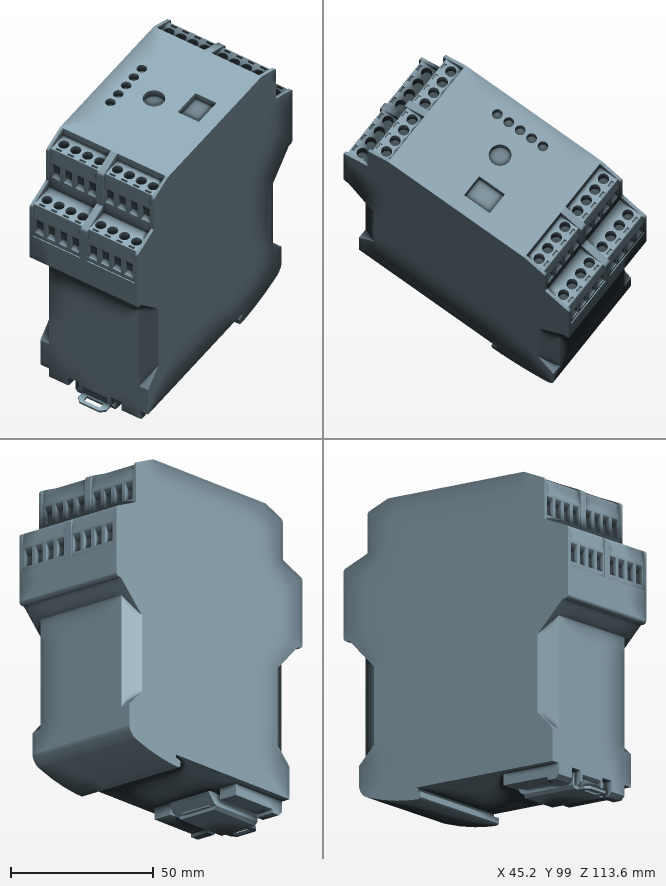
import cadquery as cq

WIDTH = 45.2
HEIGHT = 113.6
DEPTH = 99.0
HEAD_HALF = DEPTH / 2
SHOULDER_HALF = 39.0
CREST_HALF = 29.9
BODY_HALF = 42.6
TERRACE_SLOPE = 0.4
TERRACE_DROP = 18.5
HEAD_BOTTOM = 64.8
HEAD_LIP = 2.4
EDGE_RADIUS = 1.4
BASE_Z = 6.7

RECESS_DEPTH = 6.6
RECESS_SIDE = 3.7
RECESS_BOTTOM = 18.7
RECESS_TOP = HEAD_BOTTOM + BODY_HALF - (HEAD_HALF - HEAD_LIP)

GROUP_WIDTH = 20.1
MIDDLE_RIB = 2.7
GROUP_OFFSET = (GROUP_WIDTH + MIDDLE_RIB) / 2
POLES = 4
PITCH = 5.0
POLE_OFFSET = 11.2
FACE_RECESS = 0.3
LOWER_FACE = HEAD_HALF - FACE_RECESS
FACE_STEP = 10.7
UPPER_FACE = LOWER_FACE - FACE_STEP
UPPER_DECK = 110.0
LOWER_DECK = UPPER_DECK - TERRACE_DROP
BANK_BOTTOM = 76.7
LIP_HEIGHT = 0.8
LIP_RUN = 0.2
FACE_LEAN = 0.7
FACE_LEAN_DROP = 5.3
CLEARANCE = 3.4
SCREW_DIAMETER = 4.0
SCREW_INSET = 5.0
SCREW_DEPTH = 4.5
TEST_SLOT = (2.5, 1.0)
TEST_SLOT_INSET = 1.8
TEST_SLOT_DEPTH = 1.1
ENTRY_WIDTH = 3.4
ENTRY_TOP = 6.1
ENTRY_BOTTOM = 13.0
ENTRY_DEPTH = 1.8
ENTRY_CEILING_FALL = 2.5
ENTRY_FLOOR_RISE = 0.9

PANEL_DEPTH = 3.0
LED_DIAMETER = 3.7
LED_COUNT = 5
LED_X = -14.7
KNOB_DIAMETER = 8.0
KNOB_X = -3.0
WINDOW_SIZE = (8.9, 11.2)
WINDOW_CENTRE = (12.2, 4.5)

HOOK_BACK = 17.7
HOOK_TIP = 15.6
HOOK_MOUTH_TOP = 5.7
HOOK_TIP_TOP = 5.0
HOOK_TIP_BOTTOM = 3.0
HOOK_BOTTOM = 2.4
HOOK_CHAMFER = 0.7
HOOK_TOE = 19.4
HOOK_TOE_Z = 2.5
HOOK_SWEEP_MIDDLE = (28.9, 3.9)
HOOK_SWEEP_END = (38.4, 6.5)
HEEL_MIDDLE = (41.4, 8.2)
HEEL_TOP = 10.8

FOOT_BACK = -18.2
FOOT_BOTTOM = 1.2
FOOT_STEP_Y = -37.7
FOOT_STEP_Z = 2.5
FOOT_CHAMFER = 1.5
FOOT_FRONT = -BODY_HALF + FOOT_CHAMFER
OUTER_FOOT_WIDTH = 7.5
OUTER_FOOT_X = 15.2
CENTRE_FOOT_WIDTH = 12.7
POCKET_WIDTH = 10.7
POCKET_TOP = 5.5
POCKET_DEPTH = 1.1

LATCH_HALF = 8.9
LATCH_WALL = 0.8
LATCH_WALL_TOP = 5.6
LATCH_FLOOR_HALF = 7.8
LATCH_BACK = -19.3
LATCH_HEEL_Z = 1.8
LATCH_TIP = (-15.1, 5.5)
LATCH_TIP_TOP = (-16.8, 5.9)
TONGUE_FRONT = -45.5
TONGUE_WIDTH = 11.8
TONGUE_THICKNESS = 0.9
TONGUE_CHAMFER = 1.7
GRIP_WIDTH = 6.8
GRIP_LENGTH = 2.3
GRIP_RIM = 1.4


def extrude_x(points, width, x_centre=0.0):
    """Prism along X from an outline of (y, z) points."""
    return (
        cq.Workplane("YZ", origin=(x_centre - width / 2, 0, 0))
        .polyline(points)
        .close()
        .extrude(width)
    )


def mirrored_y(points):
    return [(-y, z) for y, z in points]


def head():
    upper_corner = HEIGHT - TERRACE_SLOPE * (SHOULDER_HALF - CREST_HALF)
    shoulder = HEIGHT - TERRACE_DROP
    lower_corner = shoulder - TERRACE_SLOPE * (HEAD_HALF - SHOULDER_HALF)
    neck = BODY_HALF - RECESS_DEPTH
    half = [
        (CREST_HALF, HEIGHT),
        (SHOULDER_HALF, upper_corner),
        (SHOULDER_HALF, shoulder),
        (HEAD_HALF, lower_corner),
        (HEAD_HALF, HEAD_BOTTOM),
        (HEAD_HALF - HEAD_LIP, HEAD_BOTTOM),
        (neck, RECESS_TOP - RECESS_DEPTH),
    ]
    solid = extrude_x(half + mirrored_y(half)[::-1], WIDTH)
    rounded = [(SHOULDER_HALF, upper_corner), (HEAD_HALF, lower_corner), (HEAD_HALF, HEAD_BOTTOM)]
    for y, z in rounded + mirrored_y(rounded):
        edge = cq.selectors.NearestToPointSelector((0, y, z))
        solid = solid.edges(edge).fillet(EDGE_RADIUS)
    return solid


def body():
    """Lower body with the curved rail hook at its +Y end."""
    return (
        cq.Workplane("YZ", origin=(-WIDTH / 2, 0, 0))
        .moveTo(-BODY_HALF, RECESS_TOP)
        .lineTo(-BODY_HALF, BASE_Z)
        .lineTo(HOOK_BACK, BASE_Z)
        .lineTo(HOOK_BACK, HOOK_MOUTH_TOP)
        .lineTo(HOOK_TIP, HOOK_TIP_TOP)
        .lineTo(HOOK_TIP, HOOK_TIP_BOTTOM)
        .lineTo(HOOK_TIP + HOOK_CHAMFER, HOOK_BOTTOM)
        .lineTo(HOOK_TOE, HOOK_TOE_Z)
        .threePointArc(HOOK_SWEEP_MIDDLE, HOOK_SWEEP_END)
        .threePointArc(HEEL_MIDDLE, (BODY_HALF, HEEL_TOP))
        .lineTo(BODY_HALF, RECESS_TOP)
        .close()
        .extrude(WIDTH)
    )


def corner_recesses():
    """Cutters that bevel the four vertical corners between two sloping ledges."""
    inner = BODY_HALF - RECESS_DEPTH
    ledges = [
        (BODY_HALF, RECESS_BOTTOM),
        (inner, RECESS_BOTTOM + RECESS_DEPTH),
        (inner, RECESS_TOP - RECESS_DEPTH),
        (BODY_HALF, RECESS_TOP),
    ]
    side = WIDTH / 2
    bevel = [(side, inner), (side, BODY_HALF), (side - RECESS_SIDE, BODY_HALF)]
    corner = (
        cq.Workplane("XY").polyline(bevel).close().extrude(RECESS_TOP)
        .intersect(extrude_x(ledges, WIDTH))
    )
    pair = corner.union(corner.mirror("YZ"))
    return pair.union(pair.mirror("XZ"))


def terminal_bank(back, face, deck, bottom):
    """Cutter for one terrace of terminals on the +Y side."""
    outside = face + CLEARANCE
    opening = [
        (back, deck + TERRACE_DROP),
        (back, deck),
        (face - FACE_LEAN - LIP_RUN, deck),
        (face - FACE_LEAN, deck - LIP_HEIGHT),
        (face, deck - FACE_LEAN_DROP),
        (face, bottom),
        (outside, bottom),
        (outside, deck + TERRACE_DROP),
    ]
    entry = [
        (face + FACE_RECESS, deck - ENTRY_TOP),
        (face, deck - ENTRY_TOP),
        (face - ENTRY_DEPTH, deck - ENTRY_TOP - ENTRY_CEILING_FALL),
        (face - ENTRY_DEPTH, deck - ENTRY_BOTTOM + ENTRY_FLOOR_RISE),
        (face, deck - ENTRY_BOTTOM),
        (face + FACE_RECESS, deck - ENTRY_BOTTOM),
    ]
    cutter = cq.Workplane("XY")
    for side in (-1, 1):
        cutter = cutter.union(extrude_x(opening, GROUP_WIDTH, side * GROUP_OFFSET))
        poles = [side * POLE_OFFSET + (i - (POLES - 1) / 2) * PITCH for i in range(POLES)]
        for x in poles:
            cutter = cutter.union(extrude_x(entry, ENTRY_WIDTH, x))
        deck_plane = cq.Workplane("XY", origin=(0, 0, deck))
        screws = (
            deck_plane.pushPoints([(x, face - SCREW_INSET) for x in poles])
            .circle(SCREW_DIAMETER / 2)
            .extrude(-SCREW_DEPTH)
        )
        test_slots = (
            deck_plane.pushPoints([(x, face - TEST_SLOT_INSET) for x in poles])
            .rect(*TEST_SLOT)
            .extrude(-TEST_SLOT_DEPTH)
        )
        cutter = cutter.union(screws).union(test_slots)
    return cutter


def operating_panel():
    top = cq.Workplane("XY", origin=(0, 0, HEIGHT))
    leds = [(LED_X, (i - (LED_COUNT - 1) / 2) * PITCH) for i in range(LED_COUNT)]
    led_holes = top.pushPoints(leds).circle(LED_DIAMETER / 2).extrude(-PANEL_DEPTH)
    knob_hole = top.center(KNOB_X, 0).circle(KNOB_DIAMETER / 2).extrude(-PANEL_DEPTH)
    window = top.center(*WINDOW_CENTRE).rect(*WINDOW_SIZE).extrude(-PANEL_DEPTH)
    return led_holes.union(knob_hole).union(window)


def feet():
    nose = [
        (FOOT_FRONT, FOOT_BOTTOM),
        (-BODY_HALF, FOOT_BOTTOM + FOOT_CHAMFER),
        (-BODY_HALF, BASE_Z),
        (FOOT_BACK, BASE_Z),
    ]
    step = [(FOOT_BACK, FOOT_STEP_Z), (FOOT_STEP_Y, FOOT_STEP_Z), (FOOT_STEP_Y, FOOT_BOTTOM)]
    solid = extrude_x(nose + [(FOOT_BACK, FOOT_BOTTOM)], CENTRE_FOOT_WIDTH)
    for side in (-1, 1):
        solid = solid.union(extrude_x(nose + step, OUTER_FOOT_WIDTH, side * OUTER_FOOT_X))
    pocket = [
        (-BODY_HALF, POCKET_TOP),
        (-BODY_HALF + POCKET_DEPTH, POCKET_TOP - POCKET_DEPTH),
        (-BODY_HALF + POCKET_DEPTH, FOOT_BOTTOM),
        (-BODY_HALF, FOOT_BOTTOM),
    ]
    return solid.cut(extrude_x(pocket, POCKET_WIDTH))


def latch():
    inner = LATCH_HALF - LATCH_WALL
    right = [
        (LATCH_FLOOR_HALF, 0),
        (LATCH_HALF, FOOT_BOTTOM),
        (LATCH_HALF, LATCH_WALL_TOP),
        (inner, LATCH_WALL_TOP),
        (inner, FOOT_BOTTOM),
    ]
    left = [(-x, z) for x, z in right][::-1]
    channel = (
        cq.Workplane("XZ", origin=(0, LATCH_BACK, 0))
        .polyline(right + left)
        .close()
        .extrude(LATCH_BACK - FOOT_FRONT)
    )
    wedge_outline = [
        (LATCH_BACK, FOOT_BOTTOM),
        (FOOT_BACK, LATCH_HEEL_Z),
        LATCH_TIP,
        LATCH_TIP_TOP,
        (LATCH_BACK, LATCH_TIP_TOP[1]),
    ]
    wedge = extrude_x(wedge_outline, 2 * LATCH_HALF)
    tongue = (
        cq.Workplane("XY", origin=(0, (FOOT_FRONT + TONGUE_FRONT) / 2, 0))
        .rect(TONGUE_WIDTH, FOOT_FRONT - TONGUE_FRONT)
        .extrude(TONGUE_THICKNESS)
        .edges("|Z and <Y")
        .chamfer(TONGUE_CHAMFER)
    )
    grip = (
        cq.Workplane("XY", origin=(0, TONGUE_FRONT + GRIP_RIM + GRIP_LENGTH / 2, 0))
        .rect(GRIP_WIDTH, GRIP_LENGTH)
        .extrude(FOOT_BOTTOM)
    )
    return channel.union(wedge).union(tongue).cut(grip)


result = head().union(body()).cut(corner_recesses())
upper = terminal_bank(CREST_HALF, UPPER_FACE, UPPER_DECK, LOWER_DECK)
lower = terminal_bank(UPPER_FACE, LOWER_FACE, LOWER_DECK, BANK_BOTTOM)
for bank in (upper, lower):
    result = result.cut(bank).cut(bank.mirror("XZ"))
result = result.cut(operating_panel()).union(feet()).union(latch())